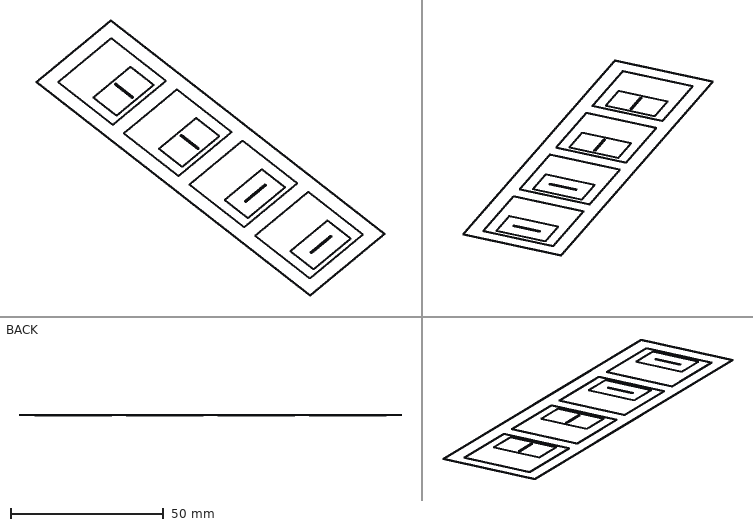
import cadquery as cq

cell_count = 4
cell_size = 25.0
margin = 5.0
pitch = cell_size + margin

total_height = 0.41
sheet_thickness = 0.2
insert_thickness = 0.069
plate_thickness = total_height - sheet_thickness - insert_thickness
insert_bottom = plate_thickness
sheet_bottom = insert_bottom + insert_thickness

sheet_length = cell_count * pitch + margin
sheet_width = cell_size + 2 * margin
sheet_middle_y = sheet_width / 2

insert_length = 10.6
insert_width = 17.5
insert_x_offset = 5.5
insert_y_offset = -0.2

x_slot_count = 2
x_slot_length = 8.0
y_slot_length = 9.5
slot_width = 0.5


def cell_center_x(index):
    return margin + cell_size / 2 + index * pitch


def slab(length, width, thickness, center_x, center_y, bottom):
    """Rectangular slab centred in X and Y, standing on the height `bottom`."""
    block = cq.Workplane("XY").box(length, width, thickness, centered=(True, True, False))
    return block.translate((center_x, center_y, bottom))


def make_sheet():
    return slab(
        sheet_length, sheet_width, sheet_thickness, sheet_length / 2, sheet_middle_y, sheet_bottom
    )


def make_plate(index):
    return slab(cell_size, cell_size, plate_thickness, cell_center_x(index), sheet_middle_y, 0)


def make_insert(index):
    """Insert with a slot that is centred on the middle line of the sheet."""
    center_x = cell_center_x(index) + insert_x_offset
    center_y = sheet_middle_y + insert_y_offset
    blank = slab(insert_length, insert_width, insert_thickness, center_x, center_y, insert_bottom)
    if index < x_slot_count:
        slot_size = (x_slot_length, slot_width)
    else:
        slot_size = (slot_width, y_slot_length)
    slot = slab(*slot_size, insert_thickness, center_x, sheet_middle_y, insert_bottom)
    return blank.cut(slot)


sheet = make_sheet()
plates = [make_plate(index) for index in range(cell_count)]
inserts = [make_insert(index) for index in range(cell_count)]

bodies = [sheet] + plates + inserts
result = cq.Compound.makeCompound([body.solids().val() for body in bodies])